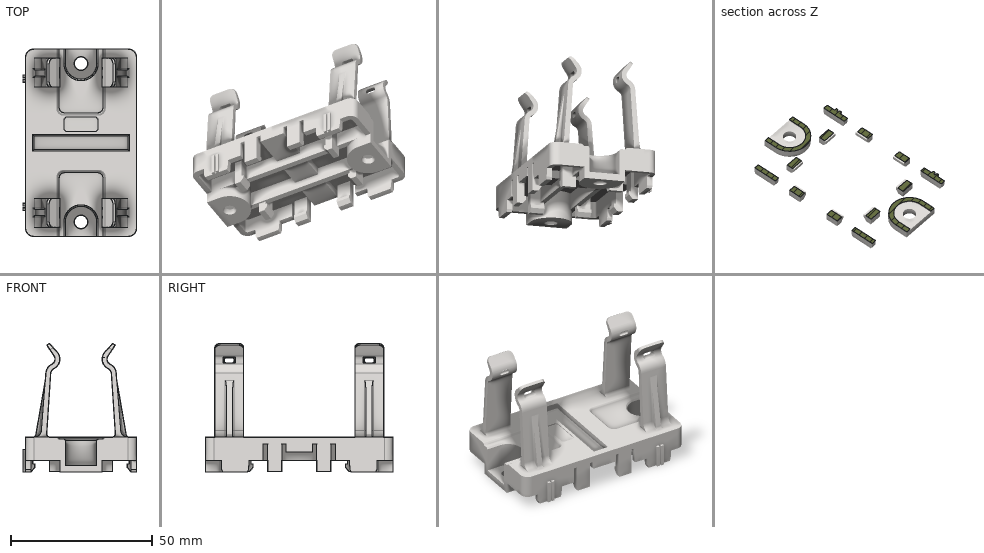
import math

import cadquery as cq

BASE_LENGTH_X = 39.3
BASE_LENGTH_Y = 66.3
BASE_CORNER_RADIUS = 3.0
RIM_Z = 4.1
DECK_Z = 12.4
CEILING_Z = 10.0
WALL = 2.0

TRAY_HALF_WIDTH = 8.4
TRAY_INNER_END_Y = 9.9
TRAY_DEPTH = 0.7
TRAY_SLOPE_ANGLE = 45
TRAY_CORNER_RADIUS = 2.4
TRAY_RIM_FILLET = 0.4

SCREW_Y = 28.0
SCREW_HOLE_DIAMETER = 4.7
POCKET_RADIUS = 5.55
POCKET_FLOOR_Z = 2.4
POCKET_EDGE_CHAMFER = 0.5
BOSS_RADIUS = 7.5

LABEL_LENGTH = 34.2
LABEL_WIDTH = 5.85
LABEL_DEPTH = 2.6
LABEL_FLOOR_CHAMFER = 0.5
LABEL_BOX_HALF_WIDTH = 4.67
LABEL_BOX_BOTTOM_Z = 7.16

PLATE_LENGTH = 12.0
PLATE_WIDTH = 5.05
PLATE_CENTRE_Y = 6.5
PLATE_DEPTH = 0.3
PLATE_CORNER_CHAMFER = 0.7

SNAP_INNER = 6.17
SNAP_OUTER = 11.2
SNAP_BOTTOM_Z = 0.2
SNAP_LEG_THICKNESS = 2.65
SNAP_BARB = 0.7
SNAP_BARB_TOP_Z = 2.9
SNAP_BARB_TIP_Z = 1.7
SNAP_TOE_THICKNESS = 2.1
SNAP_SLOT_WIDTH = 1.55

FOOT_CENTRE_Y = 22.66
FOOT_LENGTH = 9.8
FOOT_BEND_Z = 0.95
FOOT_DRAFT = 0.15
FOOT_TOE_INSET = 0.55

KEY_WIDTH = 1.05
KEY_PITCH = 1.6
KEY_PROTRUSION = 0.9
KEY_TOP_Z = 8.03

ARM_CENTRE_Y = 24.75
ARM_WIDTH = 10.25
ARM_FOOT_INNER = 12.1
ARM_FOOT_OUTER = 14.0
ARM_INNER_FILLET = 1.1
ARM_OUTER_FILLET = 2.5
ARM_THICKNESS = 1.77
UPPER_BEND_CENTRE = (11.22, 39.95)
UPPER_BEND_INNER_RADIUS = 2.0
UPPER_BEND_OUTER_RADIUS = UPPER_BEND_INNER_RADIUS + ARM_THICKNESS
LOWER_BEND_CENTRE_R = 8.6
LOWER_BEND_OUTER_RADIUS = 3.87
LOWER_BEND_INNER_RADIUS = LOWER_BEND_OUTER_RADIUS - ARM_THICKNESS
TIP_INNER = (11.25, 45.5)
TIP_OUTER = (12.1, 44.9)
TIP_CORNER_RADIUS = 2.0

WINDOW_CORNER_RADIUS = 0.7
WINDOW_WIDE_END = {"r": 10.0, "z": 39.7, "length": 4.9, "height": 2.4}
WINDOW_NARROW_END = {"r": 7.3, "z": 39.5, "length": 3.4, "height": 1.7}

RIB_CENTRE_Y = 24.63
RIB_WIDTH = 2.04
RIB_SIDE_FILLET = 0.52
RIB_FOOT_R = 16.15
RIB_TOP_Z = 32.4
RIB_FOOT_FILLET = 0.95

HALF_X = BASE_LENGTH_X / 2
HALF_Y = BASE_LENGTH_Y / 2
OVERLAP = 1.0


def block(x0, x1, y0, y1, z0, z1):
    """Box between two opposite corners."""
    return cq.Workplane("XY").box(x1 - x0, y1 - y0, z1 - z0, centered=False).translate((x0, y0, z0))


def both_ends(body):
    """A body near +Y together with its mirror image near -Y."""
    return body.union(body.mirror("XZ"))


def both_sides(body):
    """A body near +X together with its mirror image near -X."""
    return body.union(body.mirror("YZ"))


def in_all_quadrants(body):
    return both_ends(both_sides(body))


def screw_channel(radius, z0, z1):
    """Round-ended channel around the +Y screw, running out through the end wall."""
    return (
        cq.Workplane("XY", origin=(0, 0, z0))
        .moveTo(-radius, HALF_Y)
        .lineTo(-radius, SCREW_Y)
        .threePointArc((0, SCREW_Y - radius), (radius, SCREW_Y))
        .lineTo(radius, HALF_Y)
        .close()
        .extrude(z1 - z0)
    )


def base_shell():
    shell = (
        cq.Workplane("XY", origin=(0, 0, RIM_Z))
        .rect(BASE_LENGTH_X, BASE_LENGTH_Y)
        .extrude(DECK_Z - RIM_Z)
        .edges("|Z")
        .fillet(BASE_CORNER_RADIUS)
    )
    cavity = (
        cq.Workplane("XY", origin=(0, 0, RIM_Z))
        .rect(BASE_LENGTH_X - 2 * WALL, BASE_LENGTH_Y - 2 * WALL)
        .extrude(CEILING_Z - RIM_Z)
        .edges("|Z")
        .fillet(BASE_CORNER_RADIUS - WALL)
    )
    return shell.cut(cavity)


def label_box():
    half_width = LABEL_BOX_HALF_WIDTH
    return block(-HALF_X, HALF_X, -half_width, half_width, LABEL_BOX_BOTTOM_Z, CEILING_Z)


def centre_webs():
    """Lengthwise webs inside the shell that join the two screw bosses."""
    web = block(POCKET_RADIUS, BOSS_RADIUS, -SCREW_Y, SCREW_Y, RIM_Z, CEILING_Z)
    return both_sides(web)


def wall_openings():
    """Gaps beside the snap clips, and the opening under the label box between them."""
    outer_gap = block(
        HALF_X - WALL, HALF_X, SNAP_OUTER, SNAP_OUTER + SNAP_SLOT_WIDTH, RIM_Z, CEILING_Z
    )
    middle = block(HALF_X - WALL, HALF_X, -SNAP_INNER, SNAP_INNER, RIM_Z, CEILING_Z)
    return both_sides(both_ends(outer_gap).union(middle))


def snap_clip():
    """Clip at +X and +Y, with its barb facing the YZ plane."""
    inner = HALF_X - SNAP_LEG_THICKNESS
    barb = inner - SNAP_BARB
    profile = [
        (HALF_X, CEILING_Z),
        (HALF_X, SNAP_BOTTOM_Z),
        (HALF_X - SNAP_TOE_THICKNESS, SNAP_BOTTOM_Z),
        (barb, SNAP_BARB_TIP_Z),
        (barb, SNAP_BARB_TOP_Z),
        (inner, SNAP_BARB_TOP_Z),
        (inner, CEILING_Z),
    ]
    return (
        cq.Workplane("XZ", origin=(0, SNAP_INNER, 0))
        .polyline(profile)
        .close()
        .extrude(SNAP_INNER - SNAP_OUTER)
    )


def snap_clips():
    side_clips = in_all_quadrants(snap_clip())
    return side_clips.union(side_clips.rotate((0, 0, 0), (0, 0, 1), 90))


def corner_feet():
    half = FOOT_LENGTH / 2
    right_edge = [(half, RIM_Z), (half - FOOT_DRAFT, FOOT_BEND_Z), (half - FOOT_TOE_INSET, 0)]
    left_edge = [(-y, z) for y, z in reversed(right_edge)]
    foot = (
        cq.Workplane("YZ", origin=(HALF_X - WALL, FOOT_CENTRE_Y, 0))
        .polyline(right_edge + left_edge)
        .close()
        .extrude(WALL)
    )
    return in_all_quadrants(foot)


def locating_keys():
    keys = cq.Workplane("XY")
    for side in (-1, 1):
        centre = FOOT_CENTRE_Y + side * KEY_PITCH / 2
        key = block(
            -HALF_X - KEY_PROTRUSION, -HALF_X, centre - KEY_WIDTH / 2, centre + KEY_WIDTH / 2, 0, KEY_TOP_Z
        )
        keys = keys.union(key)
    return both_ends(keys)


def tray():
    """Sloped-wall recess at the +Y end, running out through the end wall."""
    length = 2 * (HALF_Y - TRAY_INNER_END_Y)
    return (
        cq.Workplane("XY", origin=(0, HALF_Y, DECK_Z))
        .sketch()
        .rect(2 * TRAY_HALF_WIDTH, length)
        .vertices()
        .fillet(TRAY_CORNER_RADIUS)
        .finalize()
        .extrude(-TRAY_DEPTH, taper=TRAY_SLOPE_ANGLE)
    )


def cut_trays(shell):
    """Sink both trays into the deck and round over their rims."""
    rim_zone = cq.selectors.BoxSelector(
        (-TRAY_HALF_WIDTH - OVERLAP, OVERLAP - HALF_Y, DECK_Z - TRAY_DEPTH / 2),
        (TRAY_HALF_WIDTH + OVERLAP, HALF_Y - OVERLAP, DECK_Z + TRAY_DEPTH / 2),
    )
    return shell.cut(both_ends(tray())).edges(rim_zone).fillet(TRAY_RIM_FILLET)


def screw_pocket():
    """Channel with a bevelled rim where it meets the tray floor, and the screw hole."""
    tray_floor = DECK_Z - TRAY_DEPTH
    rim_radius = POCKET_RADIUS + POCKET_EDGE_CHAMFER
    flare_chamfer = 0.999 * POCKET_EDGE_CHAMFER
    channel = screw_channel(POCKET_RADIUS, POCKET_FLOOR_Z, tray_floor)
    flare = (
        screw_channel(rim_radius, tray_floor - POCKET_EDGE_CHAMFER, tray_floor)
        .faces("<Z")
        .edges("not >Y")
        .chamfer(flare_chamfer)
    )
    hole = cq.Workplane("XY").center(0, SCREW_Y).circle(SCREW_HOLE_DIAMETER / 2).extrude(DECK_Z)
    return channel.union(flare).union(hole)


def label_recess():
    return (
        cq.Workplane("XY", origin=(0, 0, DECK_Z))
        .rect(LABEL_LENGTH, LABEL_WIDTH)
        .extrude(-LABEL_DEPTH)
        .faces("<Z")
        .chamfer(LABEL_FLOOR_CHAMFER)
    )


def plate_recess():
    return (
        cq.Workplane("XY", origin=(0, PLATE_CENTRE_Y, DECK_Z))
        .rect(PLATE_LENGTH, PLATE_WIDTH)
        .extrude(-PLATE_DEPTH)
        .edges("|Z")
        .chamfer(PLATE_CORNER_CHAMFER)
    )


def polar(centre, radius, angle):
    return (centre[0] + radius * math.cos(angle), centre[1] + radius * math.sin(angle))


def tangent_angle(centre, radius, point):
    """Angle at which a line from an outside point touches a circle, counterclockwise from the point."""
    dx = point[0] - centre[0]
    dz = point[1] - centre[1]
    return math.atan2(dz, dx) + math.acos(radius / math.hypot(dx, dz))


BEND_SPACING = UPPER_BEND_INNER_RADIUS + LOWER_BEND_OUTER_RADIUS
BEND_OFFSET_R = UPPER_BEND_CENTRE[0] - LOWER_BEND_CENTRE_R
LOWER_BEND_CENTRE = (
    LOWER_BEND_CENTRE_R,
    UPPER_BEND_CENTRE[1] - math.sqrt(BEND_SPACING**2 - BEND_OFFSET_R**2),
)
JOINT_ANGLE = math.acos(BEND_OFFSET_R / BEND_SPACING)

ARM_OUTER_START = (ARM_FOOT_OUTER, DECK_Z + ARM_OUTER_FILLET)
ARM_INNER_START = (ARM_FOOT_INNER, DECK_Z + ARM_INNER_FILLET)
OUTER_LEAN = tangent_angle(LOWER_BEND_CENTRE, LOWER_BEND_OUTER_RADIUS, ARM_OUTER_START)
INNER_LEAN = tangent_angle(LOWER_BEND_CENTRE, LOWER_BEND_INNER_RADIUS, ARM_INNER_START)

FOOT_FILLET_CENTRE = (
    ARM_FOOT_OUTER + ARM_OUTER_FILLET / math.cos(OUTER_LEAN),
    DECK_Z + ARM_OUTER_FILLET,
)
FOOT_FILLET_TOP = polar(FOOT_FILLET_CENTRE, ARM_OUTER_FILLET, math.pi + OUTER_LEAN)


def arm_profile():
    """Side outline of the +X arm in the XZ plane, from the outer foot round the tip and back."""
    joint_from_upper = JOINT_ANGLE + math.pi
    inner_start = tangent_angle(UPPER_BEND_CENTRE, UPPER_BEND_INNER_RADIUS, TIP_OUTER)
    outer_start = tangent_angle(UPPER_BEND_CENTRE, UPPER_BEND_OUTER_RADIUS, TIP_INNER)
    inner_fillet_centre = (ARM_FOOT_INNER - ARM_INNER_FILLET, DECK_Z + ARM_INNER_FILLET)

    def upper(radius, angle):
        return polar(UPPER_BEND_CENTRE, radius, angle)

    def lower(radius, angle):
        return polar(LOWER_BEND_CENTRE, radius, angle)

    return (
        cq.Workplane("XZ")
        .moveTo(FOOT_FILLET_CENTRE[0], DECK_Z)
        .threePointArc(
            polar(FOOT_FILLET_CENTRE, ARM_OUTER_FILLET, math.radians(225)), FOOT_FILLET_TOP
        )
        .lineTo(*lower(LOWER_BEND_OUTER_RADIUS, OUTER_LEAN))
        .threePointArc(
            lower(LOWER_BEND_OUTER_RADIUS, (OUTER_LEAN + JOINT_ANGLE) / 2),
            lower(LOWER_BEND_OUTER_RADIUS, JOINT_ANGLE),
        )
        .threePointArc(
            upper(UPPER_BEND_INNER_RADIUS, (joint_from_upper + inner_start) / 2),
            upper(UPPER_BEND_INNER_RADIUS, inner_start),
        )
        .lineTo(*TIP_OUTER)
        .lineTo(*TIP_INNER)
        .lineTo(*upper(UPPER_BEND_OUTER_RADIUS, outer_start))
        .threePointArc(
            upper(UPPER_BEND_OUTER_RADIUS, (joint_from_upper + outer_start) / 2),
            upper(UPPER_BEND_OUTER_RADIUS, joint_from_upper),
        )
        .threePointArc(
            lower(LOWER_BEND_INNER_RADIUS, (INNER_LEAN + JOINT_ANGLE) / 2),
            lower(LOWER_BEND_INNER_RADIUS, INNER_LEAN),
        )
        .lineTo(*ARM_INNER_START)
        .threePointArc(
            polar(inner_fillet_centre, ARM_INNER_FILLET, math.radians(-45)),
            (inner_fillet_centre[0], DECK_Z),
        )
        .close()
    )


def arm_face_r(z):
    """Radial position of the arm's straight outer face at a height."""
    return ARM_FOOT_OUTER - math.tan(OUTER_LEAN) * (z - ARM_OUTER_START[1])


def cove_groove(centre_y):
    """Round-nosed groove that follows the arm's outer face and the fillet at its foot."""
    nose = RIB_SIDE_FILLET

    def groove_outline(plane):
        return (
            cq.Workplane(plane)
            .moveTo(0, -nose)
            .lineTo(nose - ARM_OUTER_FILLET, -nose)
            .threePointArc((-ARM_OUTER_FILLET, 0), (nose - ARM_OUTER_FILLET, nose))
            .lineTo(0, nose)
            .close()
        )

    centre = (FOOT_FILLET_CENTRE[0], centre_y, FOOT_FILLET_CENTRE[1])
    along_face = cq.Plane(
        origin=centre,
        xDir=(math.cos(OUTER_LEAN), 0, math.sin(OUTER_LEAN)),
        normal=(-math.sin(OUTER_LEAN), 0, math.cos(OUTER_LEAN)),
    )
    straight = groove_outline(along_face).extrude(RIB_TOP_Z)
    around_foot = groove_outline(along_face).revolve(90, (0, 0), (0, -1))
    return straight.union(around_foot)


def arm_rib():
    """Wedge on the arm's outer face, with coved sides that fade out toward the top."""
    top = (arm_face_r(RIB_TOP_Z), RIB_TOP_Z)
    lean = math.atan((RIB_FOOT_R - top[0]) / (RIB_TOP_Z - DECK_Z))
    toe_z = DECK_Z + RIB_FOOT_FILLET
    toe_face_r = RIB_FOOT_R - RIB_FOOT_FILLET * math.tan(lean)
    toe_centre = (toe_face_r + RIB_FOOT_FILLET / math.cos(lean), toe_z)
    rib = (
        cq.Workplane("XZ", origin=(0, RIB_CENTRE_Y, 0))
        .moveTo(*top)
        .lineTo(*polar(toe_centre, RIB_FOOT_FILLET, math.pi + lean))
        .threePointArc(
            polar(toe_centre, RIB_FOOT_FILLET, math.radians(225)), (toe_centre[0], DECK_Z)
        )
        .lineTo(arm_face_r(DECK_Z) - OVERLAP, DECK_Z)
        .lineTo(top[0] - OVERLAP, RIB_TOP_Z)
        .close()
        .extrude(RIB_WIDTH / 2 + RIB_SIDE_FILLET, both=True)
    )
    for side in (-1, 1):
        rib = rib.cut(cove_groove(RIB_CENTRE_Y + side * (RIB_WIDTH / 2 + RIB_SIDE_FILLET)))
    return rib


def window_face(end):
    return (
        cq.Sketch()
        .rect(end["length"], end["height"])
        .vertices()
        .fillet(WINDOW_CORNER_RADIUS)
        .moved(cq.Location(cq.Vector(0, end["z"], end["r"])))
    )


def arm_window():
    return (
        cq.Workplane("YZ", origin=(0, ARM_CENTRE_Y, 0))
        .placeSketch(window_face(WINDOW_WIDE_END), window_face(WINDOW_NARROW_END))
        .loft()
    )


def spring_arms():
    arm = arm_profile().extrude(ARM_WIDTH / 2, both=True)
    tip_middle = ((TIP_INNER[0] + TIP_OUTER[0]) / 2, (TIP_INNER[1] + TIP_OUTER[1]) / 2)
    for side in (-1, 1):
        corner = (tip_middle[0], side * ARM_WIDTH / 2, tip_middle[1])
        arm = arm.edges(cq.selectors.NearestToPointSelector(corner)).fillet(TIP_CORNER_RADIUS)
    arm = arm.translate((0, ARM_CENTRE_Y, 0)).cut(arm_window()).union(arm_rib())
    return in_all_quadrants(arm)


body = cut_trays(base_shell()).cut(wall_openings())
body = body.union(label_box()).union(centre_webs()).union(corner_feet())
body = body.union(both_ends(screw_channel(BOSS_RADIUS, 0, CEILING_Z)))
body = body.union(snap_clips()).union(locating_keys())
body = body.cut(both_ends(screw_pocket())).cut(label_recess()).cut(plate_recess())
result = body.union(spring_arms())